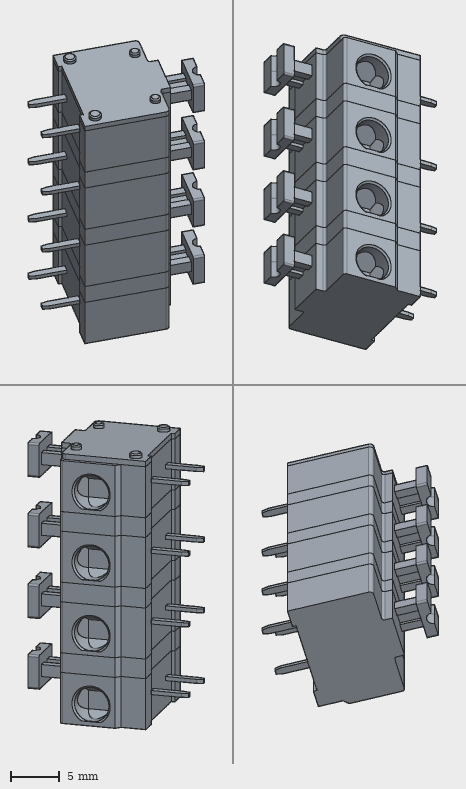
import cadquery as cq


POLE_COUNT = 4
POLE_HEIGHT = 5.5
SPACER_HEIGHT = 2.12
PITCH = POLE_HEIGHT + SPACER_HEIGHT
PLATE_HEIGHT = 0.6
STACK_TOP = (POLE_COUNT - 1) * PITCH + POLE_HEIGHT
TOTAL_HEIGHT = 29.43

BODY_WIDTH = 12.0
HALF_WIDTH = BODY_WIDTH / 2
SHOULDER_Y = 9.12
BOSS_WIDTH = 4.65
BOSS_TOP_Y = 10.2
BOSS_FILLET = 0.3
CORNER_FILLET = 0.45
RECESS_WIDTH = 8.12
RECESS_DEPTH = 0.38
LIP_PROJECTION = 0.5
LIP_BOTTOM_Y = 2.65
LIP_FILLET = 0.3
LIP_FACE_X = -HALF_WIDTH - LIP_PROJECTION

ENTRY_Y = 5.75
ENTRY_Z = 2.27
BORE_DIAMETER = 3.7
BORE_RADIUS = BORE_DIAMETER / 2
BORE_DEPTH = 1.25
ENTRY_CHAMFER = 0.2
SILL_DROP = 1.8
FUNNEL_LENGTH = 1.77
FLOOR_WIDTH = 2.4
FLOOR_HEIGHT = 2.0
FLOOR_DROP = 0.38

BUTTON_WIDTH = 4.47
BUTTON_HEIGHT = 3.68
BUTTON_THICKNESS = 1.2
BUTTON_TOP_Y = 13.9
BUTTON_BASE_Y = BUTTON_TOP_Y - BUTTON_THICKNESS
BUTTON_Z = 3.85
BUTTON_FILLET = 0.2
GROOVE_DIAMETER = 1.3
STEM_WIDTH = 2.88
STEM_HEIGHT = 1.3
WEB_WIDTH = 1.15
WEB_HEIGHT = 0.6

PIN_SPACING = 5.05
PIN_WIDTH = 0.77
PIN_THICKNESS = 0.45
PIN_TIP_Y = -3.62
PIN_TIP_WIDTH = 0.47
PIN_TAPER_LENGTH = 0.7
PIN_Z = 3.05

PEG_HEIGHT = TOTAL_HEIGHT - STACK_TOP - PLATE_HEIGHT
PEG_CHAMFER = 0.15
UPPER_PEG_DIAMETER = 1.1
UPPER_PEG_X = 3.88
UPPER_PEG_Y = 8.15
LOWER_PEG_DIAMETER = 1.3
LOWER_PEG_X = 4.8
LOWER_PEG_Y = 1.45


def box(x_size, y_range, z_size, z_center):
    """Block centred on X = 0 that spans y_range."""
    y_start, y_end = y_range
    center = (0, (y_start + y_end) / 2, z_center)
    return cq.Workplane("XY").box(x_size, y_end - y_start, z_size).translate(center)


def fillet_upright_edge(block, x, y, radius):
    """Round the Z-parallel edge that stands at (x, y)."""
    corner = cq.selectors.NearestToPointSelector((x, y, block.val().Center().z))
    return block.edges("|Z").edges(corner).fillet(radius)


def section_block(height):
    """Plain cross-section: a body with a boss on top and a recess between two feet."""
    boss_x = BOSS_WIDTH / 2
    recess_x = RECESS_WIDTH / 2
    outline = [
        (-HALF_WIDTH, 0),
        (-recess_x, 0),
        (-recess_x, RECESS_DEPTH),
        (recess_x, RECESS_DEPTH),
        (recess_x, 0),
        (HALF_WIDTH, 0),
        (HALF_WIDTH, SHOULDER_Y),
        (boss_x, SHOULDER_Y),
        (boss_x, BOSS_TOP_Y),
        (-boss_x, BOSS_TOP_Y),
        (-boss_x, SHOULDER_Y),
        (-HALF_WIDTH, SHOULDER_Y),
    ]
    block = cq.Workplane("XY").polyline(outline).close().extrude(height)
    block = fillet_upright_edge(block, -boss_x, SHOULDER_Y, BOSS_FILLET)
    block = fillet_upright_edge(block, boss_x, SHOULDER_Y, BOSS_FILLET)
    return fillet_upright_edge(block, HALF_WIDTH, SHOULDER_Y, CORNER_FILLET)


def lipped_block(height):
    """Cross-section with the wire-entry lip on the -X side."""
    lip_outline = [
        (-HALF_WIDTH, LIP_BOTTOM_Y),
        (LIP_FACE_X, LIP_BOTTOM_Y + LIP_PROJECTION),
        (LIP_FACE_X, SHOULDER_Y),
        (-HALF_WIDTH, SHOULDER_Y),
    ]
    lip = cq.Workplane("XY").polyline(lip_outline).close().extrude(height)
    block = section_block(height).union(lip)
    return fillet_upright_edge(block, LIP_FACE_X, SHOULDER_Y, LIP_FILLET)


def wire_entry():
    """Cutter: chamfered mouth, round bore, then the bore narrowed by a four-sided funnel."""
    axis_plane = cq.Plane(origin=(LIP_FACE_X, ENTRY_Y, ENTRY_Z), xDir=(0, 1, 0), normal=(1, 0, 0))
    mouth_radius = BORE_RADIUS + ENTRY_CHAMFER
    mouth = (
        cq.Workplane(axis_plane)
        .circle(mouth_radius)
        .workplane(offset=ENTRY_CHAMFER)
        .circle(BORE_RADIUS)
        .loft()
    )
    above_sill = (
        cq.Workplane(axis_plane)
        .center(0, mouth_radius - SILL_DROP)
        .rect(2 * mouth_radius, 2 * mouth_radius)
        .extrude(ENTRY_CHAMFER)
    )
    bore = cq.Workplane(axis_plane).workplane(offset=ENTRY_CHAMFER)
    bore = bore.circle(BORE_RADIUS).extrude(BORE_DEPTH - ENTRY_CHAMFER)
    funnel_start = cq.Workplane(axis_plane).workplane(offset=BORE_DEPTH)
    funnel = (
        funnel_start.rect(BORE_DIAMETER, BORE_DIAMETER)
        .workplane(offset=FUNNEL_LENGTH)
        .center(0, -FLOOR_DROP)
        .rect(FLOOR_WIDTH, FLOOR_HEIGHT)
        .loft(ruled=True)
    )
    round_limit = funnel_start.circle(BORE_RADIUS).extrude(FUNNEL_LENGTH)
    return mouth.intersect(above_sill).union(bore).union(funnel.intersect(round_limit))


def push_button():
    """Grooved, round-cornered button on an H-section stem."""
    button = box(BUTTON_WIDTH, (BUTTON_BASE_Y, BUTTON_TOP_Y), BUTTON_HEIGHT, BUTTON_Z)
    button = button.edges("|Y").fillet(BUTTON_FILLET)
    groove = (
        cq.Workplane("XY", origin=(0, BUTTON_TOP_Y, BUTTON_Z))
        .circle(GROOVE_DIAMETER / 2)
        .extrude(BUTTON_HEIGHT, both=True)
    )
    stem_range = (BOSS_TOP_Y, BUTTON_BASE_Y)
    leg_gap = box(WEB_WIDTH, stem_range, STEM_HEIGHT, BUTTON_Z)
    legs = box(STEM_WIDTH, stem_range, STEM_HEIGHT, BUTTON_Z).cut(leg_gap)
    web = box(WEB_WIDTH, stem_range, WEB_HEIGHT, BUTTON_Z)
    return button.cut(groove).union(legs).union(web)


def solder_pin(x):
    """Flat pin with a tapered tip, standing out of the recess towards -Y."""
    half = PIN_WIDTH / 2
    half_tip = PIN_TIP_WIDTH / 2
    taper_y = PIN_TIP_Y + PIN_TAPER_LENGTH
    outline = [
        (x - half, RECESS_DEPTH),
        (x - half, taper_y),
        (x - half_tip, PIN_TIP_Y),
        (x + half_tip, PIN_TIP_Y),
        (x + half, taper_y),
        (x + half, RECESS_DEPTH),
    ]
    base = cq.Workplane("XY", origin=(0, 0, PIN_Z - PIN_THICKNESS / 2))
    return base.polyline(outline).close().extrude(PIN_THICKNESS)


def pole_module(z):
    """Lipped block with wire entry, push button and two solder pins."""
    module = lipped_block(POLE_HEIGHT).cut(wire_entry()).union(push_button())
    for x in (-PIN_SPACING / 2, PIN_SPACING / 2):
        module = module.union(solder_pin(x))
    return module.translate((0, 0, z))


def spacer(z):
    """Plain lipped block between two poles."""
    return lipped_block(SPACER_HEIGHT).translate((0, 0, z))


def peg(x, y, diameter):
    """Round peg with a chamfered top, standing on the end plate."""
    post = cq.Workplane("XY", origin=(x, y, PLATE_HEIGHT)).circle(diameter / 2).extrude(PEG_HEIGHT)
    return post.faces(">Z").edges().chamfer(PEG_CHAMFER)


def end_plate(z):
    """Plate without the lip, carrying four chamfered pegs."""
    plate = section_block(PLATE_HEIGHT)
    plate = fillet_upright_edge(plate, -HALF_WIDTH, SHOULDER_Y, CORNER_FILLET)
    for side in (-1, 1):
        plate = plate.union(peg(side * UPPER_PEG_X, UPPER_PEG_Y, UPPER_PEG_DIAMETER))
        plate = plate.union(peg(side * LOWER_PEG_X, LOWER_PEG_Y, LOWER_PEG_DIAMETER))
    return plate.translate((0, 0, z))


poles = [pole_module(index * PITCH) for index in range(POLE_COUNT)]
spacers = [spacer(index * PITCH + POLE_HEIGHT) for index in range(POLE_COUNT - 1)]
plate = end_plate(STACK_TOP)

result = cq.Compound.makeCompound([body.val() for body in [*poles, *spacers, plate]])